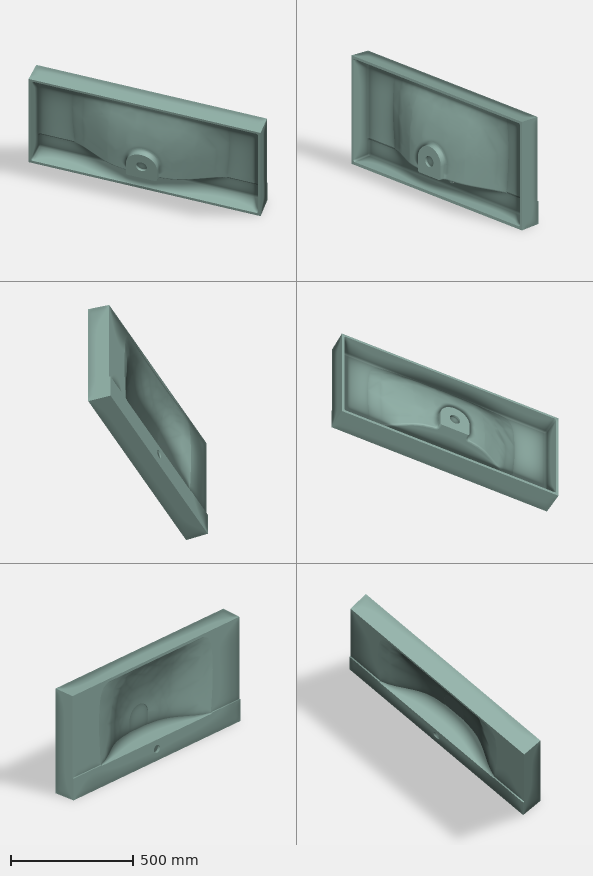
import cadquery as cq
import math


LENGTH = 1000.0
WIDTH = 480.0
FULL_HEIGHT = 140.0
TAP_DECK_HEIGHT = 98.0
MAIN_HEIGHT = 92.0
TAP_DECK_WIDTH = 100.0
SIDE_LEAN = 3.0
FRONT_LEAN = 5.0
WALL = 12.0

RIM_SIDE = 11.0
RIM_FRONT = 11.0
RIM_BACK = 13.0
POCKET_TAPER = 4.0
POCKET_CORNER_R = 8.0
POCKET_FILLET = 9.0
MAIN_CEILING = MAIN_HEIGHT - WALL
DECK_CEILING = TAP_DECK_HEIGHT - WALL
CEILING_STEP_Z = TAP_DECK_WIDTH - WALL
CEILING_STEP_RUN = 10.0

BOWL_SECTIONS = [
    (70.0, 325.0, -18.0),
    (140.0, 332.0, -18.0),
    (210.0, 337.0, -16.0),
    (280.0, 339.0, -7.0),
    (350.0, 337.0, 12.0),
    (410.0, 329.0, 38.0),
    (445.0, 312.0, 60.0),
    (462.0, 280.0, 74.0),
]
BOWL_CURVE = [(1.0, 0.0), (0.85, 0.18), (0.47, 0.81), (0.0, 1.0)]
BOWL_OVERLAP = 9.0
BOWL_OPENING = 20.0
BOWL_BACK_Z = 87.0
BOWL_BACK_LEAN = 8.0
BOWL_BACK_FILLET = 9.0

DRAIN_Z = 169.0
DRAIN_R = 24.0
PAD_Y = TAP_DECK_HEIGHT - FULL_HEIGHT
PAD_HALF_WIDTH = 67.0
PAD_HEIGHT = 40.0
PAD_TAPER = 4.0
PAD_FILLET = 10.0
TAP_Z = 54.0
TAP_R = 18.0

COVER_SEAT_Y = PAD_Y + WALL
COVER_TOP_Y = -8.0
COVER_HALF_WIDTH = PAD_HALF_WIDTH - WALL
RECESS_TOP_Y = 40.0

EDGE_MARGIN = 1.0


def sketch_at(y, z=0.0):
    """Sketch plane facing +Y: local y is Z and local x is -X; all outlines are symmetric in X."""
    return cq.Workplane(cq.Plane(origin=(0, y, z), xDir=(-1, 0, 0), normal=(0, 1, 0)))


def prism_along_x(points):
    """Prism through the whole length, from (y, z) points."""
    return cq.Workplane("YZ").polyline(points).close().extrude(LENGTH, both=True)


def above_levels(deck_y, deck_z, main_y, main_z):
    """Everything above a deck level that ends at deck_z and a main level that starts at main_z."""
    far = 2 * WIDTH
    return prism_along_x(
        [(deck_y, -far), (deck_y, deck_z), (main_y, main_z), (main_y, far), (far, far), (far, -far)]
    )


def tray_block():
    """Outer block with leaning end and front walls and a raised tap deck."""
    block = (
        sketch_at(0).center(0, WIDTH / 2).rect(LENGTH, WIDTH)
        .workplane(offset=TAP_DECK_HEIGHT).center(0, -FRONT_LEAN / 2)
        .rect(LENGTH - 2 * SIDE_LEAN, WIDTH - FRONT_LEAN)
        .loft(ruled=True)
    )
    return block.cut(above_levels(TAP_DECK_HEIGHT, TAP_DECK_WIDTH, MAIN_HEIGHT, TAP_DECK_WIDTH))


def pocket():
    """Hollow under the tray, with rounded corners and a fillet round its stepped ceiling."""
    step_end_z = CEILING_STEP_Z + CEILING_STEP_RUN
    block = (
        sketch_at(0).center(0, (RIM_BACK + WIDTH - RIM_FRONT) / 2)
        .rect(LENGTH - 2 * RIM_SIDE, WIDTH - RIM_FRONT - RIM_BACK)
        .extrude(DECK_CEILING, taper=POCKET_TAPER)
        .edges("not(#Y)").fillet(POCKET_CORNER_R)
        .cut(above_levels(DECK_CEILING, CEILING_STEP_Z, MAIN_CEILING, step_end_z))
    )
    deck_edges = block.faces(">Y").edges("not(>Z)").vals()
    main_edges = block.faces("+Y").faces("<Y").edges("not(<Z)").vals()
    slope = cq.selectors.BoxSelector(
        (-EDGE_MARGIN, MAIN_CEILING, CEILING_STEP_Z), (EDGE_MARGIN, DECK_CEILING, step_end_z)
    )
    slope_edges = block.faces(slope).edges("not(|X)").vals()
    return block.newObject(deck_edges + main_edges + slope_edges).fillet(POCKET_FILLET)


def bulge_section(z, half, lowest, lift, top):
    """Closed section at one z: a symmetric curve hanging from its edges, under a flat top."""
    edge_y = MAIN_CEILING + lift
    depth = MAIN_CEILING - lowest
    right = [(half * across, edge_y - depth * down) for across, down in BOWL_CURVE]
    left = [(-x, y) for x, y in reversed(right[:-1])]
    return (
        cq.Workplane("XY", origin=(0, 0, z))
        .moveTo(half, top).lineTo(half, edge_y)
        .spline(right[1:] + left, includeCurrent=True)
        .lineTo(-half, top).close().val()
    )


def bulge(lift, top):
    """Loft through the bowl sections, raised by lift."""
    sections = [bulge_section(z, half, lowest, lift, top) for z, half, lowest in BOWL_SECTIONS]
    return cq.Workplane(cq.Solid.makeLoft(sections))


def behind_bowl(inset):
    """Everything on the tap side of the leaning back wall, or of its inner face at the inset."""
    far = WIDTH
    slope = math.tan(math.radians(BOWL_BACK_LEAN))
    middle_z = BOWL_BACK_Z + inset + MAIN_CEILING * slope
    return prism_along_x(
        [(-far, middle_z + far * slope), (far, middle_z - far * slope), (far, -far), (-far, -far)]
    )


def arch(y, half):
    """Upright outline at height y: half circle round the drain above straight sides."""
    return (
        sketch_at(y, DRAIN_Z)
        .moveTo(-half, -DRAIN_Z).lineTo(half, -DRAIN_Z).lineTo(half, 0)
        .threePointArc((0, half), (-half, 0)).close()
    )


def bowl_with_pad():
    """Outer bulge of the bowl with the drain pad blended into it."""
    pad = arch(PAD_Y, PAD_HALF_WIDTH).extrude(PAD_HEIGHT, taper=-PAD_TAPER)
    bowl = bulge(0, MAIN_CEILING + BOWL_OVERLAP).union(pad).cut(behind_bowl(0))

    reach = PAD_HALF_WIDTH + PAD_FILLET
    pad_zone = cq.selectors.BoxSelector(
        (-reach, COVER_SEAT_Y, TAP_DECK_WIDTH + PAD_FILLET), (reach, 0, DRAIN_Z + reach)
    )
    bowl = bowl.edges(pad_zone).edges("%BSPLINE").fillet(PAD_FILLET)

    back_zone = cq.selectors.BoxSelector(
        (-LENGTH, PAD_Y + EDGE_MARGIN, 0), (LENGTH, MAIN_CEILING, WIDTH)
    )
    return bowl.faces("<Z").edges(back_zone).fillet(BOWL_BACK_FILLET)


def bowl_hollow():
    """Inside of the bowl, one wall thickness from its outside."""
    return bulge(WALL, MAIN_HEIGHT + BOWL_OPENING).cut(behind_bowl(WALL))


def cover_shape(top_y):
    """Arch on the cover seat, up to top_y, ending at the inner face of the back wall."""
    block = arch(COVER_SEAT_Y, COVER_HALF_WIDTH).extrude(top_y - COVER_SEAT_Y)
    return block.cut(behind_bowl(WALL))


def make_basin():
    body = tray_block().cut(pocket()).union(bowl_with_pad())
    body = body.cut(bowl_hollow()).cut(cover_shape(RECESS_TOP_Y))
    drain = sketch_at(PAD_Y, DRAIN_Z).circle(DRAIN_R).extrude(WALL)
    tap_hole = sketch_at(0, TAP_Z).circle(TAP_R).extrude(TAP_DECK_HEIGHT)
    return body.cut(drain).cut(tap_hole)


def make_drain_cover():
    return cover_shape(COVER_TOP_Y)


basin = make_basin()
drain_cover = make_drain_cover()

result = cq.Compound.makeCompound([basin.solids().val(), drain_cover.solids().val()])